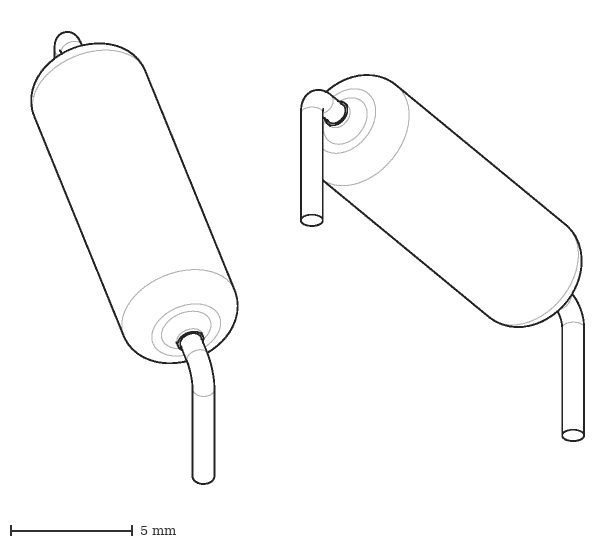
import cadquery as cq

overall_length = 21.2
overall_height = 8.55

housing_diameter = 4.95
housing_length = 15.14
housing_edge_radius = 1.0
collar_diameter = 1.1
collar_length = 0.7
collar_flare_radius = 0.5

lead_diameter = 0.91
lead_bend_radius = 0.91

housing_radius = housing_diameter / 2
housing_end_x = housing_length / 2
collar_end_x = housing_end_x + collar_length
lead_drop_x = (overall_length - lead_diameter) / 2
lead_bottom_z = housing_radius - overall_height


def make_housing():
    """Cylinder with rounded ends and a collar that flares into each end face."""
    body = (
        cq.Workplane("YZ", origin=(-housing_end_x, 0, 0))
        .circle(housing_radius)
        .extrude(housing_length)
        .edges()
        .fillet(housing_edge_radius)
    )
    for side in (-1, 1):
        body = body.union(make_collar(side))
    return body


def make_collar(side):
    """Revolved collar on the -X (side = -1) or +X (side = 1) end face."""
    collar_radius = collar_diameter / 2
    flare_start_x = housing_end_x + collar_flare_radius
    flare_foot_radius = collar_radius + collar_flare_radius
    arc_offset = collar_flare_radius * 0.5**0.5
    return (
        cq.Workplane("XZ")
        .moveTo(side * housing_end_x, 0)
        .lineTo(side * collar_end_x, 0)
        .lineTo(side * collar_end_x, collar_radius)
        .lineTo(side * flare_start_x, collar_radius)
        .threePointArc(
            (side * (flare_start_x - arc_offset), flare_foot_radius - arc_offset),
            (side * housing_end_x, flare_foot_radius),
        )
        .close()
        .revolve(360, (0, 0), (1, 0))
    )


def make_lead(side):
    """Bent wire that starts on the collar face and drops down in -Z."""
    path = (
        cq.Workplane("XZ")
        .moveTo(side * collar_end_x, 0)
        .lineTo(side * (lead_drop_x - lead_bend_radius), 0)
        .tangentArcPoint((side * lead_drop_x, -lead_bend_radius), relative=False)
        .lineTo(side * lead_drop_x, lead_bottom_z)
    )
    return (
        cq.Workplane("YZ", origin=(side * collar_end_x, 0, 0))
        .circle(lead_diameter / 2)
        .sweep(path)
    )


housing = make_housing()
leads = [make_lead(side) for side in (-1, 1)]

result = cq.Compound.makeCompound([housing.solids().val(), *[lead.val() for lead in leads]])